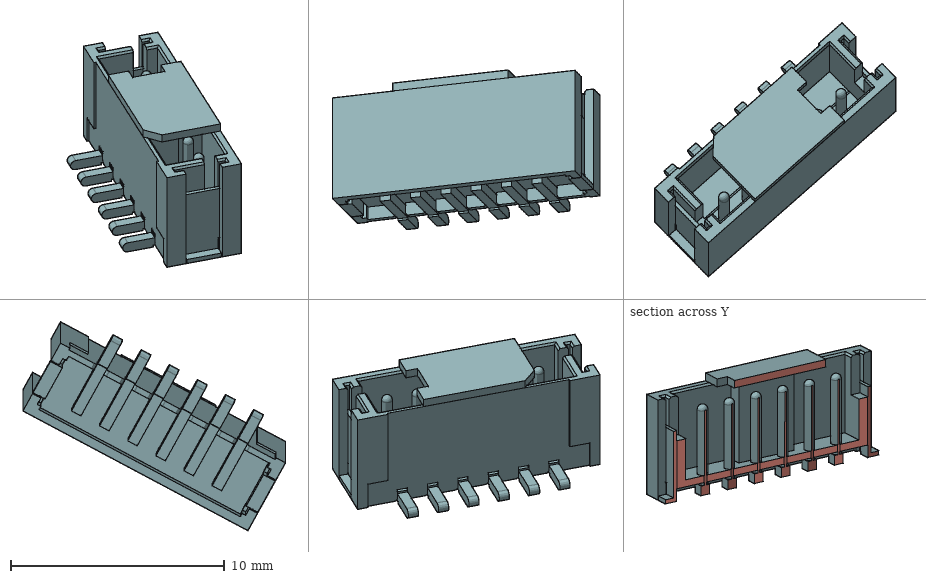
import cadquery as cq


LENGTH = 12.0
HEIGHT = 5.0
FRONT_Y = -3.6
PAD_FRONT_Y = -3.7
PAD_TOP_WIDTH = 1.5
PAD_FOOT_WIDTH = 0.5
PAD_STEP_Z = 1.31
RIM_CHAMFER = 0.1
MIDDLE_Y = PAD_FRONT_Y / 2

CAVITY_LENGTH = 9.71
CAVITY_BACK_Y = -0.42
CAVITY_FRONT_Y = -3.32
PIN_FLOOR_Z = 1.0
FRONT_FLOOR_DROP = 0.06
FLOOR_SLOPE_BACK_Y = -1.91
FLOOR_SLOPE_FRONT_Y = -2.0
UNDERSIDE_RECESS_HEIGHT = 0.62

END_OPENING_WIDTH = 1.8
NOTCH_BACK_Y = -0.95
NOTCH_FRONT_Y = -1.61
NOTCH_FLOOR_Z = 3.05

PLATE_THICKNESS = 0.19
PLATE_INNER_X = 5.36
PLATE_WIDTH = 2.5
PLATE_TOP_Z = 3.55
PLATE_SHOULDER_Z = 0.8
FOOT_WIDTH = 1.7
FOOT_THICKNESS = 0.23

PIN_COUNT = 6
PIN_PITCH = 1.5
PIN_DIAMETER = 0.5
PIN_RADIUS = PIN_DIAMETER / 2
PIN_Y = -1.35
PIN_TOP_Z = 4.46
LEAD_BOTTOM_Z = -0.1
LEAD_TOP_Z = LEAD_BOTTOM_Z + PIN_DIAMETER
LEAD_DROP_Y = -3.67
LEAD_TIP_Y = -5.2
LEAD_EXIT_RADIUS = 0.15
PIN_XS = [(i - (PIN_COUNT - 1) / 2) * PIN_PITCH for i in range(PIN_COUNT)]

CAP_THICKNESS = 0.4
CAP_LEFT_X = -2.7
CAP_RIGHT_X = 3.01
CAP_CORNER = 0.7
CAP_NOTCH_DEPTH = 0.58
CAP_NOTCH_BACK_Y = -1.0
CAP_NOTCH_FRONT_Y = -2.59
PLUG_LENGTH = 3.1


def block(x_range, y_range, z_range):
    """Box between pairs of coordinates."""
    size = [high - low for low, high in (sorted(x_range), sorted(y_range), sorted(z_range))]
    corner = (min(x_range), min(y_range), min(z_range))
    return cq.Workplane("XY").box(*size, centered=False).translate(corner)


def both_ends(shape):
    """The +X end shape together with its mirror image at the -X end."""
    return shape.union(shape.mirror("YZ"))


def centred(middle, width):
    """Range of the given width about a middle coordinate."""
    return (middle - width / 2, middle + width / 2)


def rimmed_pocket(x_range, y_range, bottom_z):
    """Rectangular pocket open at the housing top, with a 45-degree lead-in around its rim."""
    length = max(x_range) - min(x_range)
    width = max(y_range) - min(y_range)
    lead_in = (
        cq.Workplane("XY")
        .workplane(offset=HEIGHT - RIM_CHAMFER)
        .center(sum(x_range) / 2, sum(y_range) / 2)
        .rect(length, width)
        .workplane(offset=RIM_CHAMFER)
        .rect(length + 2 * RIM_CHAMFER, width + 2 * RIM_CHAMFER)
        .loft(ruled=True)
    )
    return block(x_range, y_range, (bottom_z, HEIGHT)).union(lead_in)


def front_pads():
    """Raised end pads on the front face, narrower near the bottom."""
    end_x = LENGTH / 2
    pad = (
        cq.Workplane("XZ", origin=(0, FRONT_Y, 0))
        .moveTo(end_x, 0)
        .lineTo(end_x, HEIGHT)
        .lineTo(end_x - PAD_TOP_WIDTH, HEIGHT)
        .lineTo(end_x - PAD_TOP_WIDTH, PAD_STEP_Z)
        .lineTo(end_x - PAD_FOOT_WIDTH, PAD_STEP_Z)
        .lineTo(end_x - PAD_FOOT_WIDTH, 0)
        .close()
        .extrude(FRONT_Y - PAD_FRONT_Y)
    )
    return both_ends(pad)


def cavity():
    """Mating cavity, with the lower floor in front of the pins."""
    x_range = centred(0, CAVITY_LENGTH)
    low_floor_z = PIN_FLOOR_Z - FRONT_FLOOR_DROP
    low_floor = (
        cq.Workplane("YZ", origin=(-CAVITY_LENGTH / 2, 0, 0))
        .moveTo(FLOOR_SLOPE_BACK_Y, PIN_FLOOR_Z)
        .lineTo(FLOOR_SLOPE_FRONT_Y, low_floor_z)
        .lineTo(CAVITY_FRONT_Y, low_floor_z)
        .lineTo(CAVITY_FRONT_Y, PIN_FLOOR_Z)
        .close()
        .extrude(CAVITY_LENGTH)
    )
    return rimmed_pocket(x_range, (CAVITY_FRONT_Y, CAVITY_BACK_Y), PIN_FLOOR_Z).union(low_floor)


def end_slots():
    """Plate slots, their openings to the ends and the notches towards the cavity."""
    plate_outer_x = PLATE_INNER_X + PLATE_THICKNESS
    slot = rimmed_pocket((PLATE_INNER_X, plate_outer_x), centred(MIDDLE_Y, PLATE_WIDTH), 0)
    opening = block((PLATE_INNER_X, LENGTH / 2), centred(MIDDLE_Y, END_OPENING_WIDTH), (0, HEIGHT))
    notch = block(
        (CAVITY_LENGTH / 2, PLATE_INNER_X), (NOTCH_FRONT_Y, NOTCH_BACK_Y), (NOTCH_FLOOR_Z, HEIGHT)
    )
    return both_ends(slot.union(opening).union(notch))


def lead_slot(x):
    """Slot through the front wall for one lead, with a rounded mouth at the underside."""
    half = PIN_RADIUS
    r = LEAD_EXIT_RADIUS
    return (
        cq.Workplane("XZ", origin=(x, FRONT_Y, 0))
        .moveTo(-half - r, 0)
        .radiusArc((-half, r), -r)
        .lineTo(-half, UNDERSIDE_RECESS_HEIGHT)
        .lineTo(half, UNDERSIDE_RECESS_HEIGHT)
        .lineTo(half, r)
        .radiusArc((half + r, 0), -r)
        .close()
        .extrude(FRONT_Y - CAVITY_FRONT_Y)
    )


def make_housing():
    body = block(centred(0, LENGTH), (FRONT_Y, 0), (0, HEIGHT)).union(front_pads())
    recess = block(
        centred(0, 2 * PLATE_INNER_X), (CAVITY_FRONT_Y, CAVITY_BACK_Y), (0, UNDERSIDE_RECESS_HEIGHT)
    )
    body = body.cut(cavity()).cut(end_slots()).cut(recess)
    for x in PIN_XS:
        pin_hole = cq.Workplane("XY").center(x, PIN_Y).circle(PIN_RADIUS).extrude(HEIGHT)
        body = body.cut(lead_slot(x)).cut(pin_hole)
    return body


def make_pin(x):
    """Round post with a domed top, on a square tail that steps down into a round-tipped lead."""
    dome_base_z = PIN_TOP_Z - PIN_RADIUS
    post = cq.Workplane("XY").center(x, PIN_Y).circle(PIN_RADIUS).extrude(dome_base_z)
    dome = cq.Workplane("XY").sphere(PIN_RADIUS).translate((x, PIN_Y, dome_base_z))
    tail_back_y = PIN_Y + PIN_RADIUS
    tip_start_y = LEAD_TIP_Y + PIN_RADIUS
    lead = (
        cq.Workplane("YZ", origin=(x - PIN_RADIUS, 0, 0))
        .moveTo(tail_back_y, 0)
        .lineTo(tail_back_y, PIN_DIAMETER)
        .lineTo(FRONT_Y, PIN_DIAMETER)
        .lineTo(FRONT_Y, LEAD_TOP_Z)
        .lineTo(tip_start_y, LEAD_TOP_Z)
        .threePointArc((LEAD_TIP_Y, LEAD_TOP_Z - PIN_RADIUS), (tip_start_y, LEAD_BOTTOM_Z))
        .lineTo(LEAD_DROP_Y, LEAD_BOTTOM_Z)
        .lineTo(LEAD_DROP_Y, 0)
        .close()
        .extrude(PIN_DIAMETER)
    )
    return lead.union(post).union(dome)


def make_hold_down():
    """Plate for the +X end, narrowed below its shoulders, with a foot turned outwards."""
    plate_x = (PLATE_INNER_X, PLATE_INNER_X + PLATE_THICKNESS)
    plate = block(plate_x, centred(MIDDLE_Y, PLATE_WIDTH), (PLATE_SHOULDER_Z, PLATE_TOP_Z))
    stem = block(plate_x, centred(MIDDLE_Y, FOOT_WIDTH), (0, PLATE_SHOULDER_Z))
    foot = block((PLATE_INNER_X, LENGTH / 2), centred(MIDDLE_Y, FOOT_WIDTH), (0, FOOT_THICKNESS))
    return plate.union(stem).union(foot)


def make_cap():
    """Pick-up plate over the cavity, with a plug that is grooved for the middle pins."""
    plate = (
        cq.Workplane("XY", origin=(0, 0, HEIGHT))
        .moveTo(CAP_LEFT_X, 0)
        .lineTo(CAP_RIGHT_X, 0)
        .lineTo(CAP_RIGHT_X, FRONT_Y + CAP_CORNER)
        .lineTo(CAP_RIGHT_X - CAP_CORNER, FRONT_Y)
        .lineTo(CAP_LEFT_X, FRONT_Y)
        .lineTo(CAP_LEFT_X, CAP_NOTCH_FRONT_Y)
        .lineTo(CAP_LEFT_X + CAP_NOTCH_DEPTH, CAP_NOTCH_FRONT_Y)
        .lineTo(CAP_LEFT_X + CAP_NOTCH_DEPTH, CAP_NOTCH_BACK_Y)
        .lineTo(CAP_LEFT_X, CAP_NOTCH_BACK_Y)
        .close()
        .extrude(CAP_THICKNESS)
    )
    plug_x = centred(0, PLUG_LENGTH)
    plug_z = (PIN_FLOOR_Z, HEIGHT)
    back_leg = block(plug_x, (PIN_Y + PIN_RADIUS, CAVITY_BACK_Y), plug_z)
    front_leg = block(plug_x, (CAVITY_FRONT_Y, PIN_Y - PIN_RADIUS), plug_z)
    return plate.union(back_leg).union(front_leg)


housing = make_housing()
cap = make_cap()
pins = [make_pin(x) for x in PIN_XS]
right_hold_down = make_hold_down()
left_hold_down = right_hold_down.mirror("YZ")

result = cq.Compound.makeCompound(
    [housing.val(), cap.val(), right_hold_down.val(), left_hold_down.val()] + [pin.val() for pin in pins]
)